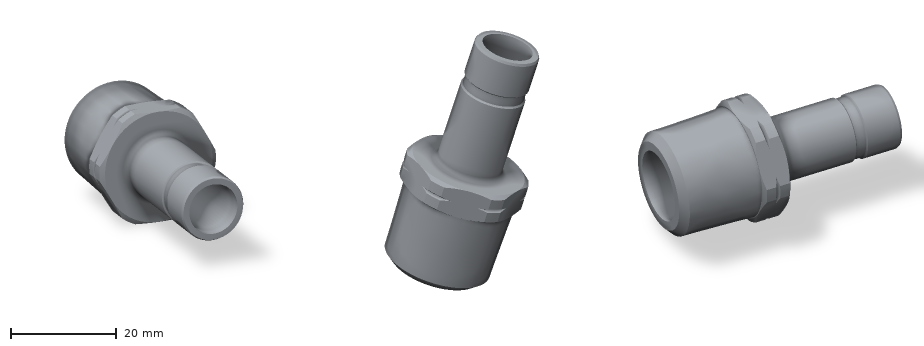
import cadquery as cq
import math

length = 48.3
face_radius = 8.8
thread_start_radius = 10.4
lead_chamfer_length = 1.45
taper_slope = 1 / 32

hex_start_x = 16.35
hex_end_x = 22.3
across_flats = 22.1
corner_radius = 24.0 / 2
hex_chamfer_angle = 30.0
corner_groove_width = 0.75
corner_groove_depth = 0.65

tube_radius = 6.38
neck_fillet = 1.0
tube_groove_start_x = 38.55
tube_groove_end_x = 41.05
tube_groove_depth = 0.35
groove_wall_run = 0.3
end_chamfer_length = 0.5
end_chamfer_height = 0.25

inlet_radius = 13.95 / 2
passage_radius = 9.9 / 2
inlet_depth = 14.5
shoulder_cone_angle = 118.0
shoulder_length = (inlet_radius - passage_radius) / math.tan(math.radians(shoulder_cone_angle / 2))


def revolve_profile(points):
    """Revolve a closed (x, radius) outline about the X axis."""
    return cq.Workplane("XY").polyline(points).close().revolve(360, (0, 0, 0), (1, 0, 0))


def make_thread():
    end_radius = thread_start_radius + (hex_start_x - lead_chamfer_length) * taper_slope
    return revolve_profile([
        (0, 0),
        (0, face_radius),
        (lead_chamfer_length, thread_start_radius),
        (hex_start_x, end_radius),
        (hex_start_x, 0),
    ])


def make_hex():
    flat_radius = across_flats / 2
    chamfer_run = (corner_radius - flat_radius) * math.tan(math.radians(hex_chamfer_angle))
    groove_x = (hex_start_x + hex_end_x) / 2
    half_groove = corner_groove_width / 2
    envelope = revolve_profile([
        (hex_start_x, 0),
        (hex_start_x, flat_radius),
        (hex_start_x + chamfer_run, corner_radius),
        (groove_x - half_groove, corner_radius),
        (groove_x, corner_radius - corner_groove_depth),
        (groove_x + half_groove, corner_radius),
        (hex_end_x - chamfer_run, corner_radius),
        (hex_end_x, flat_radius),
        (hex_end_x, 0),
    ])
    across_corners = across_flats / math.cos(math.radians(30))
    prism = (
        cq.Workplane("YZ", origin=(hex_start_x, 0, 0))
        .polygon(6, across_corners)
        .extrude(hex_end_x - hex_start_x)
    )
    return prism.intersect(envelope)


def make_tube():
    fillet_end_x = hex_end_x + neck_fillet
    arc_offset = neck_fillet * (1 - math.sqrt(0.5))
    groove_radius = tube_radius - tube_groove_depth
    profile = (
        cq.Workplane("XY")
        .moveTo(hex_end_x, 0)
        .lineTo(hex_end_x, tube_radius + neck_fillet)
        .threePointArc(
            (hex_end_x + arc_offset, tube_radius + arc_offset),
            (fillet_end_x, tube_radius),
        )
        .lineTo(tube_groove_start_x, tube_radius)
        .lineTo(tube_groove_start_x + groove_wall_run, groove_radius)
        .lineTo(tube_groove_end_x - groove_wall_run, groove_radius)
        .lineTo(tube_groove_end_x, tube_radius)
        .lineTo(length - end_chamfer_length, tube_radius)
        .lineTo(length, tube_radius - end_chamfer_height)
        .lineTo(length, 0)
        .close()
    )
    return profile.revolve(360, (0, 0, 0), (1, 0, 0))


def make_bore():
    return revolve_profile([
        (0, 0),
        (0, inlet_radius),
        (inlet_depth, inlet_radius),
        (inlet_depth + shoulder_length, passage_radius),
        (length, passage_radius),
        (length, 0),
    ])


result = make_thread().union(make_hex()).union(make_tube()).cut(make_bore())